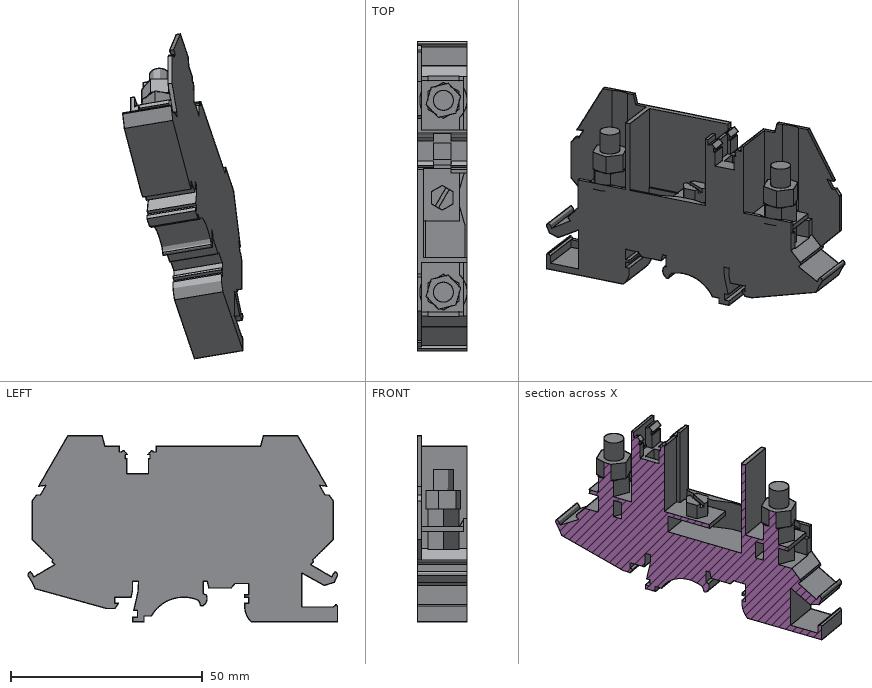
import cadquery as cq
import math

WIDTH = 13.0
HALF_LENGTH = 40.375
HEIGHT = 48.6

PLATE_THICK = 1.1
WALL_TOP = 45.85
END_WALL_Y = 17.3
MID_WALL_Y = -16.0

NOTCH_Y = 11.75
NOTCH_HALF = 2.8
NOTCH_FLOOR = 38.7
HOOK_OUTER = 4.8
HOOK_SHELF = 44.35
HOOK_PROFILE = [(4.25, HOOK_SHELF), (3.7, 44.75), (2.6, 43.6), (3.2, 43.6), (3.2, 42.6)]

PASSAGE_X = (4.25, 8.8)
PASSAGE_START = 8.1
PASSAGE_STEP = 0.25
PASSAGE_STEP_TOP = 39.3
PIT_HALF = 2.2
PIT_DEPTH = 4.0

BLOCK_END = 31.2
BLOCK_FLOOR = 19.1
BLOCK_WALL = 1.0
BLOCK_TOP = 27.0
BAR_END = 30.15
BAR_TOP = 24.85
BAR_THICK = 1.25
BAR_BOTTOM = BAR_TOP - BAR_THICK
WEDGE_TOP = 26.6
WEDGE_RUN = 1.05
WEDGE_LENGTH = 4.5
TOOL_BOTTOM = 25.2
TOOL_RADIUS = 6.15

STUD_X = 6.8
STUD_Y = 25.0
STUD_RADIUS = 2.6
STUD_TOP = 39.7
HEX_FLATS = 8.1
HEX_DIAMETER = HEX_FLATS / math.cos(math.pi / 6)
NUT_DIAMETER = 9.3
NUT_BOTTOM = 29.5
NUT_TOP = 34.3
NUT_TURN = 14.0
HEAD_SLOT_FLOOR = 18.9
HEAD_SLOT_END = 32.0

CHAMBER_X = (1.6, 12.4)
CHAMBER_END = 7.2
CHAMBER_FLOOR = BLOCK_FLOOR
CHAMBER_LEDGE = 0.5
POST_FACE = 6.1
MID_BAR_X = (CHAMBER_X[0], 11.0)
MID_BAR_START = -6.4
BULGE_Y = -0.4
BULGE_HALF_BASE = 7.1
BULGE_HALF_TIP = 2.2
SCREW_X = 6.5
SCREW_Y = -0.4
SCREW_DIAMETER = 6.45
SCREW_HEAD = 4.0
SLOT_WIDTH = 1.0
SLOT_DEPTH = 1.0
SLOT_ANGLE = 60.0
CORNER_ALONG_Y = 90.0


def box(xs, ys, zs):
    """Axis-aligned box between pairs of limits."""
    size = (xs[1] - xs[0], ys[1] - ys[0], zs[1] - zs[0])
    return cq.Workplane("XY").box(*size, centered=False).translate((xs[0], ys[0], zs[0]))


def hexagon(x, y, diameter, bottom, top, turn):
    """Hexagonal prism; at zero turn a corner points along +X."""
    prism = cq.Workplane("XY").polygon(6, diameter).extrude(top - bottom)
    return prism.rotate((0, 0, 0), (0, 0, 1), turn).translate((x, y, bottom))


def cylinder(x, y, radius, bottom, top):
    """Upright cylinder between two heights."""
    return cq.Workplane("XY").circle(radius).extrude(top - bottom).translate((x, y, bottom))


def mirrored(points):
    """Points reflected to the other end, in reverse order."""
    return [(-y, z) for y, z in reversed(points)]


def notch_points():
    """Notch outline from the +Y shelf to the -Y shelf."""
    half = [(HOOK_OUTER, WALL_TOP), (HOOK_OUTER, HOOK_SHELF)] + HOOK_PROFILE
    half += [(NOTCH_HALF, HOOK_PROFILE[-1][1]), (NOTCH_HALF, NOTCH_FLOOR)]
    right = [(NOTCH_Y - y, z) for y, z in reversed(half)]
    return [(NOTCH_Y + y, z) for y, z in half] + right


PLATE_FLANK = [
    (39.3, 21.5), (39.3, 31.55), (38.1, 33.15), (37.1, 33.15), (35.7, 35.6), (37.6, 35.35),
    (29.95, HEIGHT),
]
PLATE_PEAK = [(21.0, HEIGHT), (20.3, WALL_TOP)]
BLOCK_FLANK = [
    (BLOCK_END, BLOCK_FLOOR), (BLOCK_END, BLOCK_TOP), (END_WALL_Y, BLOCK_TOP), (END_WALL_Y, WALL_TOP),
]


def plate_top():
    """Top edge of the side plate."""
    side = PLATE_FLANK + PLATE_PEAK
    return side + notch_points() + mirrored(side)


def block_top():
    """Top edge of the full-width housing."""
    return BLOCK_FLANK + notch_points() + mirrored(BLOCK_FLANK)


ARM_ROOT = [(33.4, 14.95), (34.1, 15.65), (33.9, 16.2)]
ARM_LIP = [(38.85, 11.75), (39.2, 12.5), (39.75, 13.1)]
ARM_TIP_BEND = (40.205, 12.72)
ARM_TIP = (HALF_LENGTH, 12.15)

FOOT_POCKET_INNER = -31.05
FOOT_POCKET_OUTER = -39.2
FOOT_RIM = 3.95
FOOT_POCKET_FLOOR = 1.8


FOOT_LENGTH = [
    (-39.5, 10.3), (-36.9, 9.5), (FOOT_POCKET_INNER, 12.75), (FOOT_POCKET_INNER, FOOT_RIM),
    (FOOT_POCKET_OUTER, FOOT_RIM), (-39.8, 4.3), (-39.8, 4.6), (-40.0, 4.6), (-HALF_LENGTH, 4.1),
    (-HALF_LENGTH, 0), (-17.9, 0),
]
FOOT_NOSE_BEND = (-16.6, 1.8)
FOOT_NOSE = (-16.15, 3.55)
RAIL_GROOVE = [
    (-16.15, 4.9), (-17.2, 4.9), (-17.2, 6.4), (-16.15, 6.4), (-16.15, 7.1), (-17.2, 7.1),
    (-17.2, 10.0), (-13.6, 10.0), (-12.6, 8.8), (-6.8, 8.8), (-6.4, 10.55), (-5.4, 10.55),
    (-5.4, 7.35), (-6.1, 7.1),
]
SPRING_ARCS = [
    ((-6.35, 5.9), (-5.5, 4.4)),
    ((-5.0, 4.15), (-4.5, 4.5)),
    ((-4.2, 5.4), (-3.4, 5.9)),
    ((3.7, 5.6), (8.2, 1.5)),
]
TOE_AND_CATCH = [
    (10.05, 1.5), (10.05, 0), (13.05, 0), (13.05, 1.25), (11.8, 1.25), (11.8, 3.0), (12.8, 3.0),
    (11.7, 7.85), (11.55, 10.55), (13.05, 10.55), (13.05, 8.2), (13.45, 6.4), (17.7, 6.4),
    (17.7, 4.9), (16.7, 4.9), (17.7, 3.45), (19.75, 3.45), (38.5, 8.65), (39.3, 10.35), ARM_TIP,
]


def add_lines(outline, points):
    """Continue an outline with straight lines through the points."""
    for point in points:
        outline = outline.lineTo(*point)
    return outline


def profile(top_edge, thickness):
    """Side outline closed over the given top edge, extruded from X = 0."""
    outline = cq.Workplane("YZ").moveTo(*ARM_ROOT[0])
    outline = add_lines(outline, ARM_ROOT[1:] + top_edge)
    outline = add_lines(outline, mirrored(ARM_ROOT))
    outline = add_lines(outline, mirrored(ARM_LIP[::-1]))
    tip_arc = mirrored([ARM_TIP, ARM_TIP_BEND])
    outline = outline.threePointArc(*tip_arc)
    outline = add_lines(outline, FOOT_LENGTH)
    outline = outline.threePointArc(FOOT_NOSE_BEND, FOOT_NOSE)
    outline = add_lines(outline, RAIL_GROOVE)
    for bend, arc_end in SPRING_ARCS:
        outline = outline.threePointArc(bend, arc_end)
    outline = add_lines(outline, TOE_AND_CATCH)
    outline = outline.threePointArc(ARM_TIP_BEND, ARM_LIP[-1])
    outline = add_lines(outline, ARM_LIP[-2::-1])
    return outline.close().extrude(thickness)


def cut_foot_pocket(body):
    """Lower the foot pocket floor behind the side plate."""
    pocket = box(
        (PLATE_THICK, WIDTH), (FOOT_POCKET_OUTER, FOOT_POCKET_INNER), (FOOT_POCKET_FLOOR, FOOT_RIM)
    )
    return body.cut(pocket)


def cut_passage(body):
    """Clear the hooks between the near and far pairs and sink a pit in the floor."""
    far_wall = NOTCH_Y + HOOK_OUTER
    passage = box(PASSAGE_X, (PASSAGE_START, far_wall), (PASSAGE_STEP_TOP, HEIGHT))
    near_shelf = box(PASSAGE_X, (NOTCH_Y - HOOK_OUTER, PASSAGE_START), (HOOK_SHELF, HEIGHT))
    floor = box(PASSAGE_X, (PASSAGE_START, far_wall - PASSAGE_STEP), (NOTCH_FLOOR, PASSAGE_STEP_TOP))
    pit = box(PASSAGE_X, (NOTCH_Y - PIT_HALF, NOTCH_Y + PIT_HALF), (NOTCH_FLOOR - PIT_DEPTH, NOTCH_FLOOR))
    return body.cut(passage).cut(near_shelf).cut(floor).cut(pit)


def cut_chamber(body):
    """Open the middle chamber, leaving a bulge on its outer wall."""
    opening = box((CHAMBER_X[0], WIDTH), (MID_WALL_Y, POST_FACE), (BLOCK_TOP, HEIGHT))
    upper = box(CHAMBER_X, (MID_WALL_Y, POST_FACE), (BAR_BOTTOM, BLOCK_TOP))
    lower_x = (CHAMBER_X[0] + CHAMBER_LEDGE, CHAMBER_X[1])
    lower = box(lower_x, (MID_WALL_Y, POST_FACE), (CHAMBER_FLOOR, BLOCK_TOP))
    recess = box((CHAMBER_X[0], PASSAGE_X[1]), (POST_FACE, CHAMBER_END), (BAR_BOTTOM, HEIGHT))
    bulge = (
        cq.Workplane("XY", origin=(0, BULGE_Y, CHAMBER_FLOOR))
        .polyline([
            (CHAMBER_X[1], -BULGE_HALF_BASE), (MID_BAR_X[1], -BULGE_HALF_TIP),
            (MID_BAR_X[1], BULGE_HALF_TIP), (CHAMBER_X[1], BULGE_HALF_BASE),
        ])
        .close()
        .extrude(BLOCK_TOP - CHAMBER_FLOOR)
    )
    return body.cut(opening.union(upper).union(lower).union(recess)).union(bulge)


def add_middle_bar(body):
    """Busbar with a slotted hexagon screw in the middle chamber."""
    bar = box(MID_BAR_X, (MID_BAR_START, CHAMBER_END), (BAR_BOTTOM, BAR_TOP))
    screw_top = BAR_TOP + SCREW_HEAD
    screw = hexagon(SCREW_X, SCREW_Y, SCREW_DIAMETER, BAR_BOTTOM, screw_top, CORNER_ALONG_Y)
    slot = (
        cq.Workplane("XY")
        .box(2 * SCREW_DIAMETER, SLOT_WIDTH, 2 * SLOT_DEPTH)
        .rotate((0, 0, 0), (0, 0, 1), SLOT_ANGLE)
        .translate((SCREW_X, SCREW_Y, screw_top))
    )
    return body.union(bar).union(screw.cut(slot))


def span(side, inner, outer):
    """Y limits of a feature on the +Y (side = 1) or -Y (side = -1) end."""
    return tuple(sorted((side * inner, side * outer)))


def cut_terminal(body, side):
    """Open one terminal block above its busbar and slot it for the stud head."""
    inner_x = (PLATE_THICK, WIDTH - BLOCK_WALL)
    head_x = (STUD_X - HEX_FLATS / 2, STUD_X + HEX_FLATS / 2)
    opening = box(inner_x, span(side, END_WALL_Y, BLOCK_END), (BAR_BOTTOM, HEIGHT))
    slot = box(
        head_x, span(side, STUD_Y - HEX_DIAMETER / 2, HEAD_SLOT_END), (HEAD_SLOT_FLOOR, BAR_BOTTOM)
    )
    wedge = (
        cq.Workplane("XZ")
        .polyline([
            (inner_x[1], BAR_TOP), (inner_x[1], WEDGE_TOP), (inner_x[1] - WEDGE_RUN, BAR_TOP),
        ])
        .close()
        .extrude(-WEDGE_LENGTH)
        .translate((0, span(side, END_WALL_Y, END_WALL_Y + WEDGE_LENGTH)[0], 0))
    )
    bar = box(inner_x, span(side, END_WALL_Y, BAR_END), (BAR_BOTTOM, BAR_TOP))
    wall_tool = cylinder(STUD_X, side * STUD_Y, TOOL_RADIUS, TOOL_BOTTOM, HEIGHT)
    wedge_tool = cylinder(STUD_X, side * STUD_Y, TOOL_RADIUS, BAR_TOP, WEDGE_TOP)
    body = body.cut(opening).cut(slot).cut(wall_tool)
    return body.union(bar).union(wedge.cut(wedge_tool))


def add_stud(body, side):
    """Add the stud with its hexagonal head and the nut above it."""
    y = side * STUD_Y
    head = hexagon(STUD_X, y, HEX_DIAMETER, HEAD_SLOT_FLOOR, NUT_BOTTOM, CORNER_ALONG_Y)
    nut = hexagon(STUD_X, y, NUT_DIAMETER, NUT_BOTTOM, NUT_TOP, NUT_TURN)
    stud = cylinder(STUD_X, y, STUD_RADIUS, NUT_BOTTOM, STUD_TOP)
    return body.union(head).union(nut).union(stud)


plate = profile(plate_top(), PLATE_THICK)
block = profile(block_top(), WIDTH)
body = block.union(plate)
body = cut_foot_pocket(body)
body = cut_passage(body)
body = cut_chamber(body)
body = add_middle_bar(body)
for end in (1, -1):
    body = cut_terminal(body, end)
    body = add_stud(body, end)
result = body